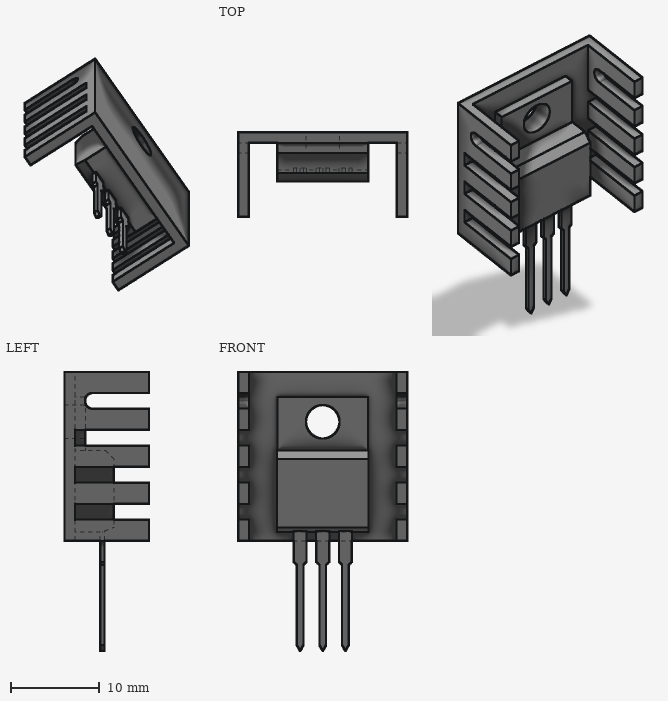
import cadquery as cq


sink_width = 19.0
sink_height = 19.0
sink_depth = 9.52
sheet = 1.2
finger_count = 5
finger_height = 2.4
slot_count = finger_count - 1
slot_height = (sink_height - finger_count * finger_height) / slot_count
finger_pitch = finger_height + slot_height
round_slot_center_depth = 3.2

hole_diameter = 3.75
hole_z = sink_height - 5.62

tab_width = 10.15
tab_front_depth = 2.35
tab_top_z = sink_height - 2.83
body_width = 10.27
body_front_depth = 5.55
body_top_z = sink_height - 8.83
body_bottom_z = 1.0
top_chamfer = 0.97
bottom_slope_depth = 1.3
bottom_slope_height = 0.5

overall_height = 31.4
lead_count = 3
lead_pitch = 2.55
lead_thickness = 0.5
lead_center_depth = body_front_depth - bottom_slope_depth
lead_shoulder_width = 1.48
lead_pin_width = 0.8
lead_taper = (lead_shoulder_width - lead_pin_width) / 2
lead_shoulder_z = -2.35
lead_tip_height = 0.7
lead_tip_z = sink_height - overall_height
lead_embedment = 0.95


def block(width, back_depth, front_depth, bottom_z, top_z):
    """Box centred on X, between two depths and two heights."""
    return cq.Workplane("XY").box(
        width, front_depth - back_depth, top_z - bottom_z, centered=(True, False, False)
    ).translate((0, -front_depth, bottom_z))


def make_heat_sink():
    channel = block(sink_width, 0, sink_depth, 0, sink_height)
    channel = channel.cut(block(sink_width - 2 * sheet, sheet, sink_depth, 0, sink_height))
    for index in range(slot_count):
        slot_bottom = finger_height + index * finger_pitch
        slot_top = slot_bottom + slot_height
        is_top_slot = index == slot_count - 1
        slot_start = round_slot_center_depth if is_top_slot else sheet
        channel = channel.cut(block(sink_width, slot_start, sink_depth, slot_bottom, slot_top))
        if is_top_slot:
            round_end = (
                cq.Workplane("YZ")
                .center(-round_slot_center_depth, (slot_bottom + slot_top) / 2)
                .circle(slot_height / 2)
                .extrude(sink_width / 2, both=True)
            )
            channel = channel.cut(round_end)
    return channel


def make_body():
    side_profile = [
        (-sheet, body_bottom_z),
        (-sheet, body_top_z),
        (-body_front_depth + top_chamfer, body_top_z),
        (-body_front_depth, body_top_z - top_chamfer),
        (-body_front_depth, body_bottom_z + bottom_slope_height),
        (-body_front_depth + bottom_slope_depth, body_bottom_z),
    ]
    return cq.Workplane("YZ").polyline(side_profile).close().extrude(body_width / 2, both=True)


def make_lead(center_x):
    half_shoulder = lead_shoulder_width / 2
    half_pin = lead_pin_width / 2
    root_z = body_bottom_z + lead_embedment
    pin_top_z = lead_shoulder_z - lead_taper
    pin_bottom_z = lead_tip_z + lead_tip_height
    outline = [
        (-half_shoulder, root_z),
        (-half_shoulder, lead_shoulder_z),
        (-half_pin, pin_top_z),
        (-half_pin, pin_bottom_z),
        (0, lead_tip_z),
        (half_pin, pin_bottom_z),
        (half_pin, pin_top_z),
        (half_shoulder, lead_shoulder_z),
        (half_shoulder, root_z),
    ]
    lead = cq.Workplane("XZ").polyline(outline).close().extrude(lead_thickness / 2, both=True)
    return lead.translate((center_x, -lead_center_depth, 0))


tab = block(tab_width, sheet, tab_front_depth, body_bottom_z, tab_top_z)
result = make_heat_sink().union(tab).union(make_body())

for index in range(lead_count):
    lead_x = (index - (lead_count - 1) / 2) * lead_pitch
    result = result.union(make_lead(lead_x))

mounting_hole = (
    cq.Workplane("XZ").center(0, hole_z).circle(hole_diameter / 2).extrude(tab_front_depth)
)
result = result.cut(mounting_hole)